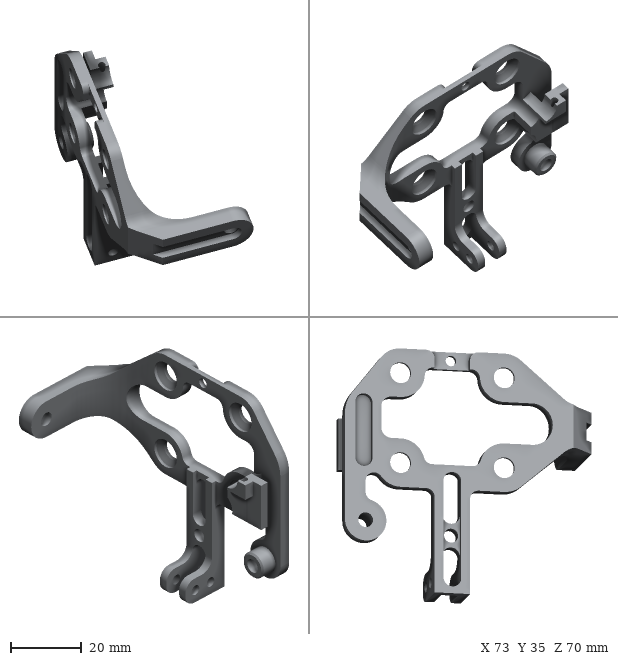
import cadquery as cq
import math

LEFT_X = -31.0
RIGHT_X = 42.0
DEPTH = 35.0
PLATE_T = 3.5

HOLE_DX = 15.0
HOLE_DZ = 13.0
HOLE_D = 6.0
CORNER_R = 7.0
HOLE_RECESS_D = 9.0
HOLE_NECK_DEPTH = 1.1

TOP_Z = HOLE_DZ + CORNER_R
SHOULDER_R = 10.0
SHOULDER_Z = 0.5
SLOPE_R = 7.5
SMALL_R = 2.5

WINDOW_LEFT_X = -20.5
WINDOW_RIGHT_X = 29.0
WINDOW_TOP_Z = 15.0
WINDOW_BOTTOM_Z = -HOLE_DZ
WINDOW_HALF_H = HOLE_DZ - CORNER_R
WINDOW_R = 3.0

ARM_T = 5.0
ARM_HALF_W = WINDOW_HALF_H
ARM_INNER_X = RIGHT_X - ARM_T
ARM_BEND_R = 15.0
ARM_HOLE_D = 4.2
ARM_HOLE_Y = DEPTH - ARM_HALF_W
ARM_SLOT_W = 5.1
ARM_SLOT_DEPTH = 2.0
HEEL_X = 7.0
HEEL_Y = 8.0

LUG_R = 6.0
LUG_X = LEFT_X + LUG_R
LUG_Z = -30.0
LUG_HOLE_D = 4.2
BOSS_D = 8.0
BOSS_END_Y = 8.6
BOSS_CHAMFER = 0.5

STEM_W = 10.2
STEM_T = 5.0
STEM_BOTTOM_Z = -50.0
SLOT_W = 5.1
SLOT_TOP_Z = -15.0
SLOT_BOTTOM_Z = -48.0
SLOT_DEPTH = 1.7
BRIDGE_TOP_Z = -29.6
BRIDGE_BOTTOM_Z = -36.4
BRIDGE_HOLE_D = 4.0
BRIDGE_HOLE_Z = -33.0
EAR_H = 8.0
EAR_END_Y = 15.5
FOOT_GAP_Y = 3.0
EAR_R = 3.5
EAR_BEND_R = 4.0
EAR_HOLE_D = 3.1
EAR_HOLE_Z = STEM_BOTTOM_Z + EAR_H / 2
EAR_HOLE_Y = 11.5
DIMPLE_Y = 5.55
DIMPLE_D = 3.0

RELIEF_W = STEM_W
RELIEF_DEPTH = 2.0
TOP_HOLE_D = 3.0
TOP_HOLE_Z = 17.5

POCKET_X = -25.55
POCKET_W = 5.0
POCKET_TOP_Z = 6.5
POCKET_BOTTOM_Z = -14.45
POCKET_DEPTH = 2.0

CLIP_BASE_LEFT_X = -23.4
CLIP_RIGHT_X = WINDOW_LEFT_X + WINDOW_R
CLIP_BOTTOM_Z = -14.0
CLIP_TOP_Z = 0.9
CLIP_WING_Y = 8.55
CLIP_WING_END_Y = 11.1
CLIP_HOOK_LEFT_X = -27.75
CLIP_HOOK_END_Y = 14.1
CLIP_HOOK_H = 4.9
CLIP_CORNER_R = 4.0
CLIP_HOLE_D = 2.2
CLIP_HOLE_X = -25.2
CLIP_HOLE_Y = 12.1


def outline(plane, nodes):
    """Closed outline of corners (u, v) and arcs (u, v, radius, start angle, end angle), joined by lines."""

    def on_arc(u, v, radius, angle):
        return (u + radius * math.cos(math.radians(angle)), v + radius * math.sin(math.radians(angle)))

    path = None
    last = None
    for node in nodes:
        start = node if len(node) == 2 else on_arc(*node[:4])
        if path is None:
            path = cq.Workplane(plane).moveTo(*start)
        elif math.dist(last, start) > 7.3e-07:
            path = path.lineTo(*start)
        last = start
        if len(node) == 5:
            middle = on_arc(*node[:3], (node[3] + node[4]) / 2)
            last = on_arc(*node[:3], node[4])
            path = path.threePointArc(middle, last)
    return path.close()


def direction(start, end):
    return math.degrees(math.atan2(end[1] - start[1], end[0] - start[0]))


def box(x0, x1, y0, y1, z0, z1):
    return cq.Workplane("XY").box(x1 - x0, y1 - y0, z1 - z0, centered=False).translate((x0, y0, z0))


def rod_y(x, z, diameter, y0, y1):
    return cq.Workplane("XZ", origin=(x, y0, z)).circle(diameter / 2).extrude(y0 - y1)


def rod_x(y, z, diameter, x0, x1):
    return cq.Workplane("YZ", origin=(x0, y, z)).circle(diameter / 2).extrude(x1 - x0)


def slot_y(x, width, z0, z1, y0, y1):
    """Upright round-ended slot running along Y."""
    centre = (x, y0, (z0 + z1) / 2)
    return cq.Workplane("XZ", origin=centre).slot2D(z1 - z0, width, 90).extrude(y0 - y1)


def frame_outline():
    stem_x = STEM_W / 2
    bend = (HOLE_DX, TOP_Z - SLOPE_R)
    hollow = (ARM_INNER_X, ARM_HALF_W + SLOPE_R)
    slope = direction(bend, hollow) + math.degrees(math.acos(2 * SLOPE_R / math.dist(bend, hollow)))
    shoulder = (LEFT_X + SHOULDER_R, SHOULDER_Z)
    corner = (-HOLE_DX, HOLE_DZ)
    spread = math.acos((SHOULDER_R - CORNER_R) / math.dist(shoulder, corner))
    left_slope = direction(shoulder, corner) + math.degrees(spread)
    hollow_left_x = LUG_X + SMALL_R
    lug_hollow_z = LUG_Z + math.sqrt((LUG_R + SMALL_R) ** 2 - SMALL_R**2)
    lug_angle = direction((LUG_X, LUG_Z), (hollow_left_x, lug_hollow_z))
    notch_drop = math.sqrt((CORNER_R + SMALL_R) ** 2 - (HOLE_DX + hollow_left_x) ** 2)
    notch_z = -HOLE_DZ - notch_drop
    notch_angle = direction((hollow_left_x, notch_z), (-HOLE_DX, -HOLE_DZ))
    return [
        (-stem_x, STEM_BOTTOM_Z),
        (stem_x, STEM_BOTTOM_Z),
        (stem_x + SMALL_R, -TOP_Z - SMALL_R, SMALL_R, 180, 90),
        (bend[0], -bend[1], SLOPE_R, -90, -slope),
        (hollow[0], -hollow[1], SLOPE_R, 180 - slope, 90),
        (RIGHT_X, -ARM_HALF_W),
        (RIGHT_X, ARM_HALF_W),
        (*hollow, SLOPE_R, 270, 180 + slope),
        (*bend, SLOPE_R, slope, 90),
        (*corner, CORNER_R, 90, left_slope),
        (*shoulder, SHOULDER_R, left_slope, 180),
        (LUG_X, LUG_Z, LUG_R, 180, 360 + lug_angle),
        (hollow_left_x, lug_hollow_z, SMALL_R, 180 + lug_angle, 180),
        (hollow_left_x, notch_z, SMALL_R, 180, notch_angle),
        (-HOLE_DX, -HOLE_DZ, CORNER_R, 180 + notch_angle, 270),
        (-stem_x - SMALL_R, -TOP_Z - SMALL_R, SMALL_R, 90, 0),
    ]


def frame_and_arm():
    """Bent plate: the frame outline along Y, limited to an L-shaped section."""
    bend_x = ARM_INNER_X - ARM_BEND_R
    section = [
        (LEFT_X, 0),
        (RIGHT_X - HEEL_X, 0),
        (RIGHT_X, HEEL_Y),
        (RIGHT_X, ARM_HOLE_Y),
        (ARM_INNER_X, ARM_HOLE_Y),
        (bend_x, PLATE_T + ARM_BEND_R, ARM_BEND_R, 0, -90),
        (LEFT_X, PLATE_T),
    ]
    bent = outline("XY", section).extrude(-2 * STEM_BOTTOM_Z).translate((0, 0, STEM_BOTTOM_Z))
    body = outline("XZ", frame_outline()).extrude(-DEPTH).intersect(bent)
    return body.union(rod_x(ARM_HOLE_Y, 0, 2 * ARM_HALF_W, ARM_INNER_X, RIGHT_X))


def window():
    def corner_fillet(edge_z, side_z):
        """Centre and angle of the fillet joining a round corner to the window's top or bottom edge."""
        z = edge_z - side_z * SMALL_R
        dz = z - side_z * HOLE_DZ
        x = HOLE_DX - math.sqrt((CORNER_R + SMALL_R) ** 2 - dz**2)
        return x, z, direction((HOLE_DX, side_z * HOLE_DZ), (x, z)) % 360

    top_x, top_z, top_a = corner_fillet(WINDOW_TOP_Z, 1)
    low_x, low_z, low_a = corner_fillet(WINDOW_BOTTOM_Z, -1)
    left_x = WINDOW_LEFT_X + WINDOW_R
    left_z = WINDOW_HALF_H - WINDOW_R
    nodes = [
        (WINDOW_RIGHT_X - WINDOW_HALF_H, 0, WINDOW_HALF_H, -90, 90),
        (HOLE_DX, HOLE_DZ, CORNER_R, 270, top_a),
        (top_x, top_z, SMALL_R, top_a - 180, 90),
        (-top_x, top_z, SMALL_R, 90, 360 - top_a),
        (-HOLE_DX, HOLE_DZ, CORNER_R, 180 - top_a, -90),
        (left_x, left_z, WINDOW_R, 90, 180),
        (left_x, -left_z, WINDOW_R, 180, 270),
        (-HOLE_DX, -HOLE_DZ, CORNER_R, 90, 180 - low_a),
        (-low_x, low_z, SMALL_R, 360 - low_a, 270),
        (low_x, low_z, SMALL_R, -90, low_a - 180),
        (HOLE_DX, -HOLE_DZ, CORNER_R, low_a, 90),
    ]
    return outline("XZ", nodes).extrude(-DEPTH)


def mounting_holes():
    """Through holes that widen by a 45 degree cone into a recess at the back of the plate."""
    neck_r = HOLE_D / 2
    recess_r = HOLE_RECESS_D / 2
    half_section = [
        (0, 0),
        (neck_r, 0),
        (neck_r, HOLE_NECK_DEPTH),
        (recess_r, HOLE_NECK_DEPTH + recess_r - neck_r),
        (recess_r, PLATE_T),
        (0, PLATE_T),
    ]
    hole = cq.Workplane("XY").polyline(half_section).close().revolve(360, (0, 0), (0, 1))
    cutter = cq.Workplane("XY")
    for x in (-HOLE_DX, HOLE_DX):
        for z in (-HOLE_DZ, HOLE_DZ):
            cutter = cutter.union(hole.translate((x, 0, z)))
    return cutter


def arm_cuts():
    """Hole in the arm tip, and a slot in the outer face running from the hole out through the heel."""
    x0 = RIGHT_X - ARM_SLOT_DEPTH
    half = ARM_SLOT_W / 2
    hole = rod_x(ARM_HOLE_Y, 0, ARM_HOLE_D, ARM_INNER_X, RIGHT_X)
    slot = box(x0, RIGHT_X, 0, ARM_HOLE_Y, -half, half)
    return hole.union(slot).union(rod_x(ARM_HOLE_Y, 0, ARM_SLOT_W, x0, RIGHT_X))


def top_relief():
    """Shallow front relief across the top bar, flared by round edges, with a pin hole."""
    half = RELIEF_W / 2
    round_z = TOP_Z - SMALL_R
    nodes = [
        (-half, WINDOW_TOP_Z),
        (half, WINDOW_TOP_Z),
        (half + SMALL_R, round_z, SMALL_R, 180, 90),
        (-half - SMALL_R, round_z, SMALL_R, 90, 0),
    ]
    relief = outline("XZ", nodes).extrude(-RELIEF_DEPTH)
    return relief.union(rod_y(0, TOP_HOLE_Z, TOP_HOLE_D, 0, PLATE_T))


def stem():
    """Full-depth body of the stem, with the foot that the ears are cut from."""
    ear_top_z = STEM_BOTTOM_Z + EAR_H
    ear_x = EAR_END_Y - EAR_R
    side = [
        (0, STEM_BOTTOM_Z),
        (ear_x, STEM_BOTTOM_Z + EAR_R, EAR_R, -90, 0),
        (ear_x, ear_top_z - EAR_R, EAR_R, 0, 90),
        (STEM_T + EAR_BEND_R, ear_top_z + EAR_BEND_R, EAR_BEND_R, 270, 180),
        (STEM_T, WINDOW_BOTTOM_Z),
        (0, WINDOW_BOTTOM_Z),
    ]
    return outline("YZ", side).extrude(STEM_W / 2, both=True)


def stem_cuts():
    half = SLOT_W / 2
    bridge_hole = rod_y(0, BRIDGE_HOLE_Z, BRIDGE_HOLE_D, 0, STEM_T)
    front_slot = slot_y(0, SLOT_W, SLOT_BOTTOM_Z, SLOT_TOP_Z, 0, SLOT_DEPTH)
    upper_slot = slot_y(0, SLOT_W, BRIDGE_TOP_Z, SLOT_TOP_Z, 0, STEM_T)
    lower_slot = slot_y(0, SLOT_W, SLOT_BOTTOM_Z, BRIDGE_BOTTOM_Z, 0, STEM_T)
    back_channel = box(-half, half, PLATE_T, STEM_T, BRIDGE_TOP_Z + half, WINDOW_BOTTOM_Z)
    ear_gap = box(-half, half, STEM_T, EAR_END_Y, STEM_BOTTOM_Z, WINDOW_BOTTOM_Z)
    foot_gap = box(-half, half, FOOT_GAP_Y, STEM_T, STEM_BOTTOM_Z, BRIDGE_BOTTOM_Z - half)
    ear_hole = rod_x(EAR_HOLE_Y, EAR_HOLE_Z, EAR_HOLE_D, -STEM_W / 2, STEM_W / 2)
    cutter = bridge_hole
    for cut in (front_slot, upper_slot, lower_slot, back_channel, ear_gap, foot_gap, ear_hole):
        cutter = cutter.union(cut)
    return cutter


def ear_dimples():
    """Ball-shaped dimples in the outer sides of the ears."""
    ball = cq.Workplane("XY").sphere(DIMPLE_D / 2).translate((STEM_W / 2, DIMPLE_Y, EAR_HOLE_Z))
    return ball.union(ball.mirror("YZ"))


def lug_boss():
    return rod_y(LUG_X, LUG_Z, BOSS_D, 0, BOSS_END_Y).faces(">Y").chamfer(BOSS_CHAMFER)


def clip():
    """Base block, wing and hook, trimmed to one outline that hollows out beside the window."""
    hollow_x = WINDOW_LEFT_X
    trim = [
        (LEFT_X, CLIP_BOTTOM_Z),
        (CLIP_RIGHT_X, CLIP_BOTTOM_Z),
        (CLIP_RIGHT_X, -WINDOW_HALF_H + WINDOW_R, WINDOW_R, 270, 180),
        (hollow_x, CLIP_TOP_Z, CLIP_CORNER_R, 270, 180),
        (LEFT_X, CLIP_TOP_Z),
    ]
    base = box(CLIP_BASE_LEFT_X, CLIP_RIGHT_X, 0, CLIP_WING_END_Y, CLIP_BOTTOM_Z, CLIP_TOP_Z)
    wing = box(LEFT_X, CLIP_RIGHT_X, CLIP_WING_Y, CLIP_WING_END_Y, CLIP_BOTTOM_Z, CLIP_TOP_Z)
    hook_z = CLIP_TOP_Z - CLIP_HOOK_H
    hook = box(CLIP_HOOK_LEFT_X, CLIP_RIGHT_X, CLIP_WING_END_Y, CLIP_HOOK_END_Y, hook_z, CLIP_TOP_Z)
    body = base.union(wing).union(hook).intersect(outline("XZ", trim).extrude(-DEPTH))
    pin_hole = (
        cq.Workplane("XY", origin=(CLIP_HOLE_X, CLIP_HOLE_Y, CLIP_BOTTOM_Z))
        .circle(CLIP_HOLE_D / 2)
        .extrude(CLIP_TOP_Z - CLIP_BOTTOM_Z)
    )
    clearance = rod_y(-HOLE_DX, -HOLE_DZ, HOLE_RECESS_D, 0, DEPTH)
    return body.cut(pin_hole).cut(clearance)


result = (
    frame_and_arm()
    .cut(window())
    .union(stem())
    .union(lug_boss())
    .union(clip())
    .cut(mounting_holes())
    .cut(arm_cuts())
    .cut(top_relief())
    .cut(stem_cuts())
    .cut(rod_y(LUG_X, LUG_Z, LUG_HOLE_D, 0, BOSS_END_Y))
    .cut(slot_y(POCKET_X, POCKET_W, POCKET_BOTTOM_Z, POCKET_TOP_Z, 0, POCKET_DEPTH))
    .cut(ear_dimples(), clean=False)
)